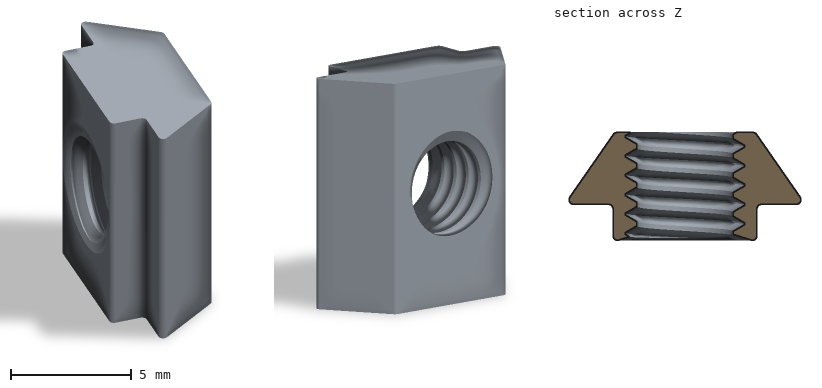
import cadquery as cq
import math

width = 9.63
depth = 4.5
height = 9.8
stem_width = 5.98
stem_depth = 1.5
edge_radius = 0.2
slope_angle = math.radians(34.8)

minor_radius = 1.99
major_radius = 2.47
thread_pitch = 0.8
root_width = 0.06
flank_angle = math.radians(30)
thread_phase = 47.0
tool_overlap = 0.08

bore_seam_angle = 180
countersink_radius = 2.79
countersink_depth = 0.25



def make_body():
    """T-shaped profile with tapered wings, extruded along Z with rounded long edges."""
    half_stem = stem_width / 2
    tip_half_angle = (math.pi / 2 - slope_angle) / 2
    tip_x = width / 2 - edge_radius + edge_radius / math.tan(tip_half_angle)
    back_x = tip_x - (depth - stem_depth) * math.tan(slope_angle)
    half_outline = [
        (half_stem, 0),
        (half_stem, stem_depth),
        (tip_x, stem_depth),
        (back_x, depth),
    ]
    mirrored = [(-x, y) for x, y in reversed(half_outline)]
    body = cq.Workplane("XY").polyline(half_outline + mirrored).close()
    body = body.extrude(height / 2, both=True)
    return body.edges("|Z").fillet(edge_radius)


def make_bore():
    """Plain bore at the thread's minor diameter with a shallow conical mouth."""
    return (
        cq.Workplane("XY")
        .polyline([
            (0, 0),
            (countersink_radius, 0),
            (minor_radius, countersink_depth),
            (minor_radius, depth),
            (0, depth),
        ])
        .close()
        .revolve(360, (0, 0, 0), (0, 1, 0))
        .rotate((0, 0, 0), (0, 1, 0), bore_seam_angle)
    )


def make_thread_groove():
    """Right-handed helical groove that runs out past both ends of the hole."""
    inner_radius = minor_radius - tool_overlap
    half_root = root_width / 2
    half_mouth = half_root + (major_radius - inner_radius) * math.tan(flank_angle)
    length = depth + 2 * thread_pitch
    helix = cq.Wire.makeHelix(thread_pitch, length, inner_radius)
    groove = (
        cq.Workplane("XZ")
        .polyline([
            (inner_radius, -half_mouth),
            (major_radius, -half_root),
            (major_radius, half_root),
            (inner_radius, half_mouth),
        ])
        .close()
        .sweep(cq.Workplane(obj=helix), isFrenet=True)
    )
    return (
        groove.rotate((0, 0, 0), (0, 0, 1), thread_phase)
        .translate((0, 0, -thread_pitch))
        .rotate((0, 0, 0), (1, 0, 0), -90)
    )


drilled_body = make_body().cut(make_bore())
result = drilled_body.cut(make_thread_groove(), clean=False)